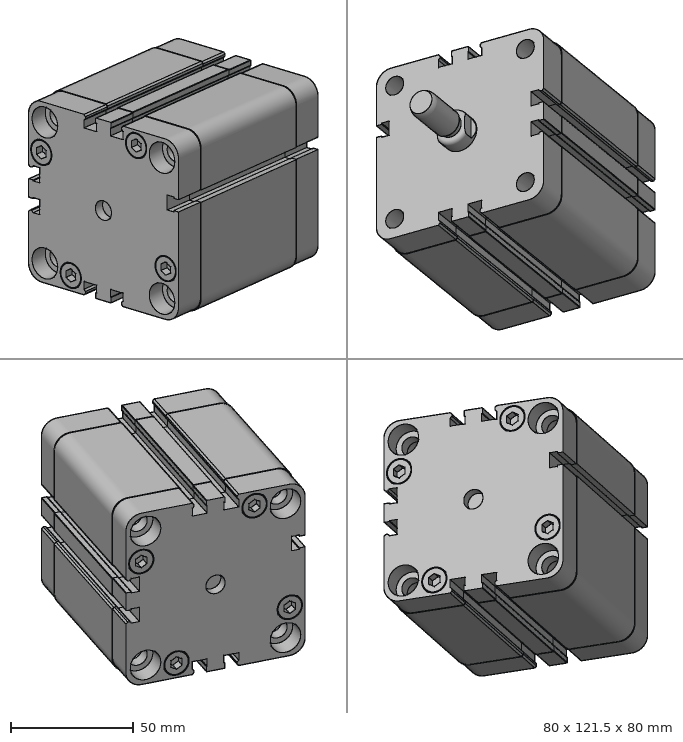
import cadquery as cq
import math


BARREL_SIZE = 80.0
BARREL_LENGTH = 61.6
CAP_SIZE = 79.4
CAP_LENGTH = 14.2
CORNER_RADIUS = 7.0
BARREL_START = CAP_LENGTH
BARREL_END = BARREL_START + BARREL_LENGTH
HOUSING_LENGTH = BARREL_END + CAP_LENGTH

MOUNT_SPACING = 62.0
MOUNT_HOLE_DIAMETER = 8.5
MOUNT_COUNTERBORE_DIAMETER = 13.5
MOUNT_COUNTERBORE_DEPTH = 8.5

SCREW_NEAR = 17.3
SCREW_FAR = 32.9
SCREW_CENTRES = [
    (SCREW_NEAR, SCREW_FAR),
    (-SCREW_FAR, SCREW_NEAR),
    (-SCREW_NEAR, -SCREW_FAR),
    (SCREW_FAR, -SCREW_NEAR),
]
SCREW_HEAD_DIAMETER = 10.4
SCREW_RECESS_DIAMETER = 11.2
SCREW_HEAD_HEIGHT = 6.0
HEX_FLATS = 5.0
HEX_DEPTH = 4.0
HEX_CORNERS = HEX_FLATS / math.cos(math.pi / 6)

CENTRE_HOLE_DIAMETER = 8.5
CENTRE_HOLE_DEPTH = 4.6

SLOT_FLOOR = 33.75
SLOT_STEP = 37.2
SLOT_WIDTH = 6.6
SLOT_OFFSET = 7.0
NEAR_LIP = 0.4
NEAR_LIP_CHAMFER = 0.2
FAR_LIP = 0.8
SINGLE_SLOT_OFFSET = 12.0
SINGLE_SLOT_LIP = 0.6

ROD_LENGTH = 31.5
COLLAR_DIAMETER = 16.0
COLLAR_LENGTH = 7.5
COLLAR_FILLET = 1.9
COLLAR_FLATS = 13.0
FLATS_END = 2.0
NECK_DIAMETER = 10.0
NECK_LENGTH = 2.5
THREAD_DIAMETER = 12.0
TIP_DIAMETER = 10.4
TIP_LENGTH = 2.8
THREAD_END_CHAMFER = 0.6


def block(size, start, length):
    """Square block with rounded long edges, from Y = start."""
    return (
        cq.Workplane("XZ", origin=(0, start, 0))
        .rect(size, size)
        .extrude(-length)
        .edges("|Y")
        .fillet(CORNER_RADIUS)
    )


def slot(points, turn):
    """Slot cutter along the whole housing, turned about Y from the +Z side."""
    return (
        cq.Workplane("XZ")
        .polyline(points)
        .close()
        .extrude(-HOUSING_LENGTH)
        .rotate((0, 0, 0), (0, 1, 0), turn)
    )


def paired_slot_points(top):
    """Slot at +X: a small lip near the middle, a larger lip with both corners bevelled on the far side."""
    near_wall = SLOT_OFFSET - SLOT_WIDTH / 2
    far_wall = SLOT_OFFSET + SLOT_WIDTH / 2
    return [
        (near_wall + NEAR_LIP - NEAR_LIP_CHAMFER, top),
        (near_wall + NEAR_LIP, top - NEAR_LIP_CHAMFER),
        (near_wall + NEAR_LIP, SLOT_STEP),
        (near_wall, SLOT_STEP),
        (near_wall, SLOT_FLOOR),
        (far_wall, SLOT_FLOOR),
        (far_wall, SLOT_STEP),
        (far_wall - FAR_LIP, SLOT_STEP + FAR_LIP),
        (far_wall - FAR_LIP, top - FAR_LIP),
        (far_wall, top),
    ]


def single_slot_points(top):
    """T-slot with two equal square lips."""
    near_wall = SINGLE_SLOT_OFFSET - SLOT_WIDTH / 2
    far_wall = SINGLE_SLOT_OFFSET + SLOT_WIDTH / 2
    return [
        (near_wall + SINGLE_SLOT_LIP, top),
        (near_wall + SINGLE_SLOT_LIP, SLOT_STEP),
        (near_wall, SLOT_STEP),
        (near_wall, SLOT_FLOOR),
        (far_wall, SLOT_FLOOR),
        (far_wall, SLOT_STEP),
        (far_wall - SINGLE_SLOT_LIP, SLOT_STEP),
        (far_wall - SINGLE_SLOT_LIP, top),
    ]


def mirrored(points):
    return [(-x, z) for x, z in points]


def all_slots(top):
    """Slot pairs on the +Z, -Z and -X sides and one slot on the +X side, above the middle."""
    pair = paired_slot_points(top)
    cutters = []
    for turn in (0, 180, -90):
        cutters.append(slot(pair, turn))
        cutters.append(slot(mirrored(pair), turn))
    cutters.append(slot(mirrored(single_slot_points(top)), 90))
    return cutters


def mount_drills(diameter, length):
    return (
        cq.Workplane("XZ")
        .rect(MOUNT_SPACING, MOUNT_SPACING, forConstruction=True)
        .vertices()
        .circle(diameter / 2)
        .extrude(-length)
    )


MOUNT_HOLES = mount_drills(MOUNT_HOLE_DIAMETER, HOUSING_LENGTH)


def housing_part(size, start, length):
    part = block(size, start, length).cut(MOUNT_HOLES)
    for cutter in all_slots(size / 2):
        part = part.cut(cutter)
    return part


def cut_screw_head(cap, x, z):
    """Leave a round screw head inside a ring gap, with a hexagon socket standing on a corner."""
    face = cq.Workplane("XZ", origin=(x, 0, z))
    ring = (
        face.circle(SCREW_RECESS_DIAMETER / 2)
        .circle(SCREW_HEAD_DIAMETER / 2)
        .extrude(-SCREW_HEAD_HEIGHT)
    )
    socket = (
        face.transformed(rotate=(0, 0, 90))
        .polygon(6, HEX_CORNERS)
        .extrude(-HEX_DEPTH)
    )
    return cap.cut(ring).cut(socket)


def make_rear_cap():
    cap = housing_part(CAP_SIZE, 0, CAP_LENGTH)
    cap = cap.cut(mount_drills(MOUNT_COUNTERBORE_DIAMETER, MOUNT_COUNTERBORE_DEPTH))
    cap = cap.cut(cq.Workplane("XZ").circle(CENTRE_HOLE_DIAMETER / 2).extrude(-CENTRE_HOLE_DEPTH))
    for x, z in SCREW_CENTRES:
        cap = cut_screw_head(cap, x, z)
    return cap


def make_rod():
    collar_end = HOUSING_LENGTH + COLLAR_LENGTH
    thread_start = collar_end + NECK_LENGTH
    tip_end = HOUSING_LENGTH + ROD_LENGTH
    collar_radius = COLLAR_DIAMETER / 2
    arc_offset = COLLAR_FILLET * (1 - math.sqrt(0.5))
    rod = (
        cq.Workplane("YZ")
        .moveTo(HOUSING_LENGTH, 0)
        .lineTo(HOUSING_LENGTH, collar_radius)
        .lineTo(collar_end - COLLAR_FILLET, collar_radius)
        .threePointArc(
            (collar_end - arc_offset, collar_radius - arc_offset),
            (collar_end, collar_radius - COLLAR_FILLET),
        )
        .lineTo(collar_end, NECK_DIAMETER / 2)
        .lineTo(thread_start, NECK_DIAMETER / 2)
        .lineTo(thread_start, THREAD_DIAMETER / 2 - THREAD_END_CHAMFER)
        .lineTo(thread_start + THREAD_END_CHAMFER, THREAD_DIAMETER / 2)
        .lineTo(tip_end - TIP_LENGTH, THREAD_DIAMETER / 2)
        .tangentArcPoint((tip_end, TIP_DIAMETER / 2), relative=False)
        .lineTo(tip_end, 0)
        .close()
        .revolve(360, (0, 0, 0), (1, 0, 0))
    )
    flat_x = COLLAR_FLATS / 2
    flat_start = HOUSING_LENGTH + FLATS_END
    ramp = collar_radius - flat_x
    for side in (1, -1):
        cutter = (
            cq.Workplane("XY")
            .polyline(
                [
                    (side * flat_x, collar_end),
                    (side * flat_x, flat_start),
                    (side * (flat_x + ramp), flat_start - ramp),
                    (side * (flat_x + ramp), collar_end),
                ]
            )
            .close()
            .extrude(COLLAR_DIAMETER, both=True)
        )
        rod = rod.cut(cutter)
    return rod


def make_front_cap():
    """Front cap with the protruding rod as one piece."""
    return housing_part(CAP_SIZE, BARREL_END, CAP_LENGTH).union(make_rod())


rear_cap = make_rear_cap()
barrel = housing_part(BARREL_SIZE, BARREL_START, BARREL_LENGTH)
front_cap = make_front_cap()

result = cq.Compound.makeCompound([rear_cap.val(), barrel.val(), front_cap.val()])